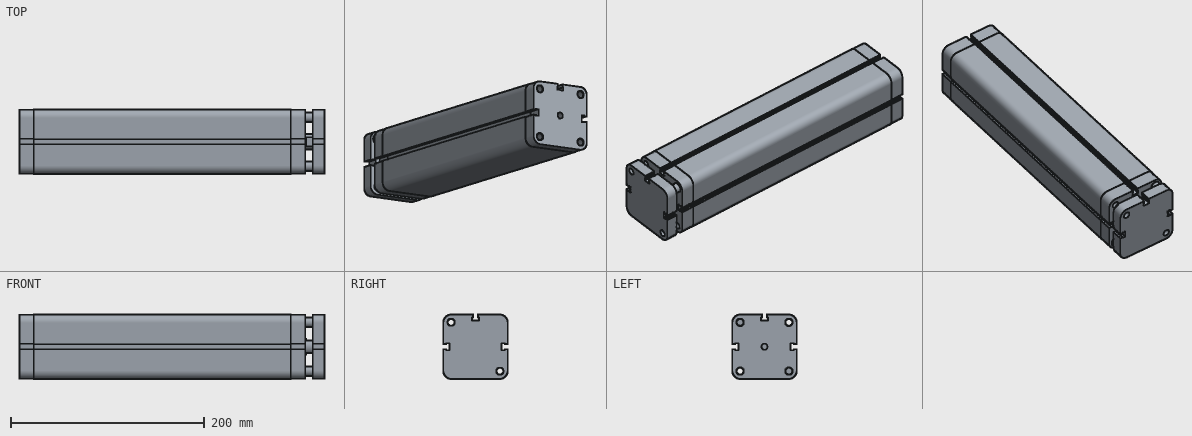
import cadquery as cq

length = 315.5
cap_length = 14.8
plate_length = 12.3
plate_gap = 7.5
housing_length = length - plate_length - plate_gap
tube_length = housing_length - 2 * cap_length

rear_x = -length / 2
tube_x = rear_x + cap_length
front_cap_x = tube_x + tube_length
housing_front_x = rear_x + housing_length
plate_x = length / 2 - plate_length

tube_size = 67.0
cap_step = 0.22
cap_size = tube_size - 2 * cap_step
tube_corner_radius = 8.5
cap_corner_radius = tube_corner_radius - cap_step

tube_mouth_width = 5.0
cap_mouth_width = 5.7
slot_width = 7.0
slot_lip = 3.0
slot_depth = 6.3

hole_offset = 25.2
hole_diameter = 7.0
hole_chamfer = 0.47
through_corners = [(hole_offset, -hole_offset), (-hole_offset, hole_offset)]
rod_corners = [(hole_offset, hole_offset), (-hole_offset, -hole_offset)]
center_hole_diameter = 6.3

guide_diameter = 10.0
piston_diameter = 16.0
flat_spacing = 13.3
flat_start = 1.0


def cross_section(x):
    """YZ plane at a place along the axis, with its normal along +X."""
    return cq.Workplane("YZ", origin=(x, 0, 0))


def rod(x_start, x_end, diameter, position=(0, 0)):
    """Round bar along X centred at a (y, z) position."""
    return cross_section(x_start).center(*position).circle(diameter / 2).extrude(x_end - x_start)


def rounded_block(x_start, x_length, size, corner_radius):
    block = cross_section(x_start).rect(size, size).extrude(x_length)
    return block.edges("|X").fillet(corner_radius)


def slotted_block(x_start, x_length, size, corner_radius, mouth_width):
    """Rounded square block with a T-slot along its top and along each Y side."""
    body = rounded_block(x_start, x_length, size, corner_radius)
    floor_z = size / 2 - slot_depth
    undercut_height = slot_depth - slot_lip
    mouth = cross_section(x_start).center(0, floor_z + slot_depth / 2).rect(mouth_width, slot_depth)
    undercut = cross_section(x_start).center(0, floor_z + undercut_height / 2).rect(slot_width, undercut_height)
    slot = mouth.extrude(x_length).union(undercut.extrude(x_length))
    for angle in (-90, 0, 90):
        body = body.cut(slot.rotate((0, 0, 0), (1, 0, 0), angle))
    return body


def tube_block(x_start, x_length):
    return slotted_block(x_start, x_length, tube_size, tube_corner_radius, tube_mouth_width)


def cap_block(x_start, x_length):
    return slotted_block(x_start, x_length, cap_size, cap_corner_radius, cap_mouth_width)


def hole_chamfer_cone(position):
    """Cone that breaks the rim of a corner hole at the rear face."""
    rim_radius = hole_diameter / 2 + hole_chamfer
    cone = cq.Solid.makeCone(
        rim_radius, hole_diameter / 2, hole_chamfer, cq.Vector(rear_x, *position), cq.Vector(1, 0, 0)
    )
    return cq.Workplane(cone)


def make_housing():
    """Tube with a slightly smaller cap at each end."""
    body = tube_block(tube_x, tube_length)
    for cap_x in (rear_x, front_cap_x):
        body = body.union(cap_block(cap_x, cap_length))

    for position in through_corners:
        body = body.cut(rod(rear_x, housing_front_x, hole_diameter, position))
    for position in rod_corners:
        body = body.cut(rod(rear_x, tube_x, hole_diameter, position))
    for position in through_corners + rod_corners:
        body = body.cut(hole_chamfer_cone(position))

    for position in rod_corners:
        body = body.cut(rod(tube_x, housing_front_x, guide_diameter, position))
    body = body.cut(rod(tube_x, housing_front_x, piston_diameter))

    return body.cut(rod(rear_x, tube_x, center_hole_diameter))


def make_plate():
    """Slotted end plate that the rods push."""
    body = cap_block(plate_x, plate_length)
    for position in through_corners:
        body = body.cut(rod(plate_x, length / 2, hole_diameter, position))
    return body


def make_piston_rod():
    """Round rod with two wrench flats just in front of the housing."""
    body = rod(tube_x, plate_x, piston_diameter)
    flats_x = housing_front_x + flat_start
    flats_length = plate_x - flats_x
    kept = cross_section(flats_x).rect(piston_diameter, flat_spacing).extrude(flats_length)
    removed = cross_section(flats_x).rect(2 * piston_diameter, 2 * piston_diameter).extrude(flats_length)
    return body.cut(removed.cut(kept))


def make_guide_rod(position):
    return rod(tube_x, plate_x, guide_diameter, position)


housing = make_housing()
plate = make_plate()
piston_rod = make_piston_rod()
guide_rods = [make_guide_rod(position) for position in rod_corners]

result = cq.Compound.makeCompound(
    [housing.val(), plate.val(), piston_rod.val(), *[guide_rod.val() for guide_rod in guide_rods]]
)